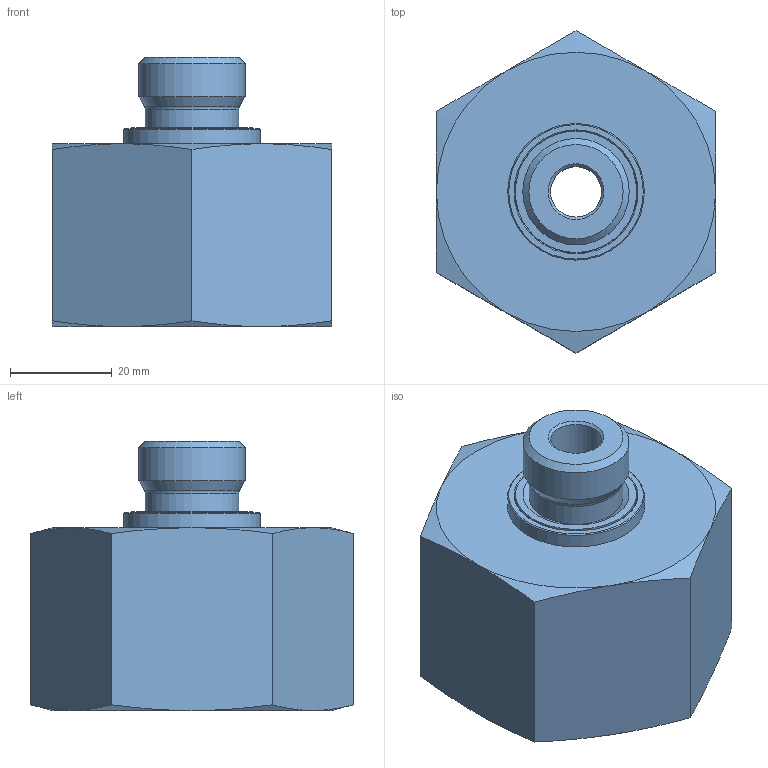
import cadquery as cq
import math

across_flats = 55.0
hex_height = 36.0
hex_chamfer_angle = 15.0

collar_diameter = 26.9
collar_height = 3.0
collar_chamfer = 0.2

groove_outer_diameter = 24.0
groove_depth = 2.0
groove_chamfer = 0.2

total_height = 53.0
thread_diameter = 20.95
thread_tip_chamfer = 1.2
thread_length = 7.7
neck_diameter = 18.4
runout_angle = 30.0
runout_fillet = 1.2

bore_diameter = 10.0
bore_chamfer = 0.5

seal_inner_diameter = 18.5
seal_outer_diameter = 23.9
seal_mouth_diameter = thread_diameter
seal_mouth_angle = 30.0
seal_protrusion = 0.2

collar_top = hex_height + collar_height
groove_floor = collar_top - groove_depth
thread_bottom = total_height - thread_length
seal_top = collar_top + seal_protrusion


def make_hexagon():
    """Hexagon with flats facing +X and -X, its corners trimmed by a cone at each end."""
    across_corners = across_flats / math.cos(math.radians(30))
    prism = (
        cq.Workplane("XY")
        .polygon(6, across_corners)
        .extrude(hex_height)
        .rotate((0, 0, 0), (0, 0, 1), 30)
    )
    face_radius = across_flats / 2
    corner_radius = across_corners / 2
    corner_drop = (corner_radius - face_radius) * math.tan(math.radians(hex_chamfer_angle))
    envelope = (
        cq.Workplane("XZ")
        .moveTo(0, 0)
        .lineTo(face_radius, 0)
        .lineTo(corner_radius, corner_drop)
        .lineTo(corner_radius, hex_height - corner_drop)
        .lineTo(face_radius, hex_height)
        .lineTo(0, hex_height)
        .close()
        .revolve(360, (0, 0, 0), (0, 1, 0))
    )
    return prism.intersect(envelope)


def make_collar():
    """Flat collar with a broken top edge and an annular seal groove chamfered at its outer rim."""
    collar = (
        cq.Workplane("XY", origin=(0, 0, hex_height))
        .circle(collar_diameter / 2)
        .extrude(collar_height)
        .faces(">Z")
        .chamfer(collar_chamfer)
    )
    inner_radius = neck_diameter / 2
    outer_radius = groove_outer_diameter / 2
    groove = (
        cq.Workplane("XZ")
        .moveTo(inner_radius, groove_floor)
        .lineTo(outer_radius, groove_floor)
        .lineTo(outer_radius, collar_top - groove_chamfer)
        .lineTo(outer_radius + groove_chamfer, collar_top)
        .lineTo(inner_radius, collar_top)
        .close()
        .revolve(360, (0, 0, 0), (0, 1, 0))
    )
    return collar.cut(groove)


def make_stud():
    """Neck, conical runout blended into the neck, and plain thread cylinder with a chamfered tip."""
    neck_radius = neck_diameter / 2
    thread_radius = thread_diameter / 2
    slope = math.radians(runout_angle)
    runout_height = (thread_radius - neck_radius) / math.tan(slope)
    blend_corner = thread_bottom - runout_height
    tangent_length = runout_fillet * math.tan(slope / 2)
    blend_start = blend_corner - tangent_length
    blend_center_radius = neck_radius + runout_fillet

    def blend_point(angle):
        """Point on the blend arc, swept by the given angle from its start on the neck."""
        return (
            blend_center_radius - runout_fillet * math.cos(angle),
            blend_start + runout_fillet * math.sin(angle),
        )

    return (
        cq.Workplane("XZ")
        .moveTo(0, hex_height)
        .lineTo(neck_radius, hex_height)
        .lineTo(neck_radius, blend_start)
        .threePointArc(blend_point(slope / 2), blend_point(slope))
        .lineTo(thread_radius, thread_bottom)
        .lineTo(thread_radius, total_height - thread_tip_chamfer)
        .lineTo(thread_radius - thread_tip_chamfer, total_height)
        .lineTo(0, total_height)
        .close()
        .revolve(360, (0, 0, 0), (0, 1, 0))
    )


def make_bore():
    """Through bore cutter with a countersunk upper mouth."""
    bore_radius = bore_diameter / 2
    return (
        cq.Workplane("XZ")
        .moveTo(0, 0)
        .lineTo(bore_radius, 0)
        .lineTo(bore_radius, total_height - bore_chamfer)
        .lineTo(bore_radius + bore_chamfer, total_height)
        .lineTo(0, total_height)
        .close()
        .revolve(360, (0, 0, 0), (0, 1, 0))
    )


def make_adapter():
    """One-piece adapter body."""
    return make_hexagon().union(make_collar()).union(make_stud()).cut(make_bore())


def make_seal():
    """Seal ring lying in the collar groove, with a shallow conical inner mouth."""
    inner_radius = seal_inner_diameter / 2
    outer_radius = seal_outer_diameter / 2
    mouth_radius = seal_mouth_diameter / 2
    mouth_depth = (mouth_radius - inner_radius) * math.tan(math.radians(seal_mouth_angle))
    return (
        cq.Workplane("XZ")
        .moveTo(inner_radius, groove_floor)
        .lineTo(outer_radius, groove_floor)
        .lineTo(outer_radius, seal_top)
        .lineTo(mouth_radius, seal_top)
        .lineTo(inner_radius, seal_top - mouth_depth)
        .close()
        .revolve(360, (0, 0, 0), (0, 1, 0))
    )


adapter = make_adapter()
seal_ring = make_seal()

result = cq.Compound.makeCompound([adapter.val(), seal_ring.val()])